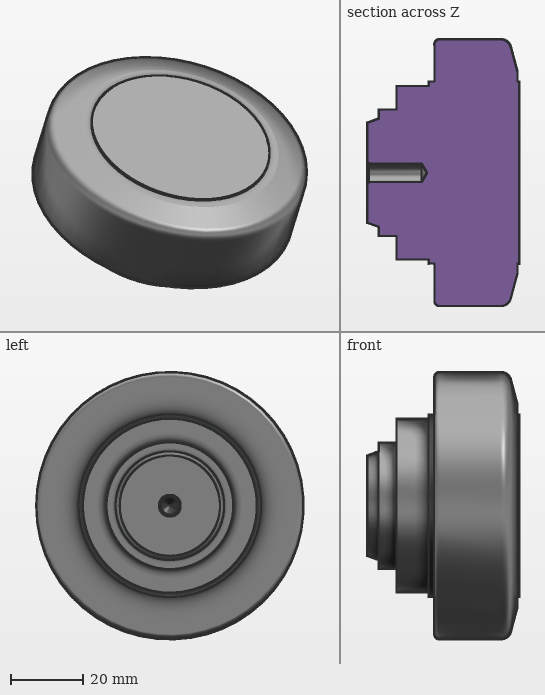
import cadquery as cq
import math

nose_end = 3.2
pin_end = 8.1
hub_end = 17.0
roller_start = 18.5
roller_end = 41.5
total_length = 42.0

nose_base_radius = 15.0
pin_radius = 17.5
hub_radius = 24.0
collar_radius = 25.2
roller_radius = 36.9

nose_taper_angle = math.radians(20)
roller_small_fillet = 1.5
roller_large_fillet = 3.0
roller_large_fillet_start = 36.8
face_cone_angle = math.radians(15)

hole_radius = 2.5
hole_mouth_radius = 3.0
hole_chamfer = hole_mouth_radius - hole_radius
hole_depth = 15.0
drill_tip_half_angle = math.radians(59)


def arc_point(centre, radius, angle):
    """Point (x, r) on a circle, with the angle measured from the X axis."""
    return (centre[0] + radius * math.cos(angle), centre[1] + radius * math.sin(angle))


def revolve_about_x(profile):
    """Turn a closed (x, r) profile once around the X axis."""
    return profile.close().revolve(360, (0, 0, 0), (1, 0, 0))


def make_stepped_body():
    """Tapered nose, pin, hub and collar; the collar stands proud of the roller on both sides."""
    nose_tip_radius = nose_base_radius - nose_end * math.tan(nose_taper_angle)
    return revolve_about_x(
        cq.Workplane("XY")
        .moveTo(0, 0)
        .lineTo(0, nose_tip_radius)
        .lineTo(nose_end, nose_base_radius)
        .lineTo(nose_end, pin_radius)
        .lineTo(pin_end, pin_radius)
        .lineTo(pin_end, hub_radius)
        .lineTo(hub_end, hub_radius)
        .lineTo(hub_end, collar_radius)
        .lineTo(total_length, collar_radius)
        .lineTo(total_length, 0)
    )


def make_roller():
    """Outer roller, rounded at both rims and coned tangentially towards its +X face."""
    small_centre = (roller_start + roller_small_fillet, roller_radius - roller_small_fillet)
    large_centre = (roller_large_fillet_start, roller_radius - roller_large_fillet)
    cone_start = arc_point(large_centre, roller_large_fillet, face_cone_angle)
    cone_end_radius = cone_start[1] - (roller_end - cone_start[0]) / math.tan(face_cone_angle)
    small_arc_middle = arc_point(small_centre, roller_small_fillet, math.radians(135))
    large_arc_middle = arc_point(
        large_centre, roller_large_fillet, (math.radians(90) + face_cone_angle) / 2
    )
    return revolve_about_x(
        cq.Workplane("XY")
        .moveTo(roller_start, 0)
        .lineTo(roller_start, small_centre[1])
        .threePointArc(small_arc_middle, (small_centre[0], roller_radius))
        .lineTo(large_centre[0], roller_radius)
        .threePointArc(large_arc_middle, cone_start)
        .lineTo(roller_end, cone_end_radius)
        .lineTo(roller_end, 0)
    )


def make_centre_hole():
    """Blind hole with a chamfered mouth and a conical drill tip."""
    tip_depth = hole_depth + hole_radius / math.tan(drill_tip_half_angle)
    return revolve_about_x(
        cq.Workplane("XY")
        .moveTo(0, 0)
        .lineTo(0, hole_mouth_radius)
        .lineTo(hole_chamfer, hole_radius)
        .lineTo(hole_depth, hole_radius)
        .lineTo(tip_depth, 0)
    )


result = make_stepped_body().union(make_roller()).cut(make_centre_hole())